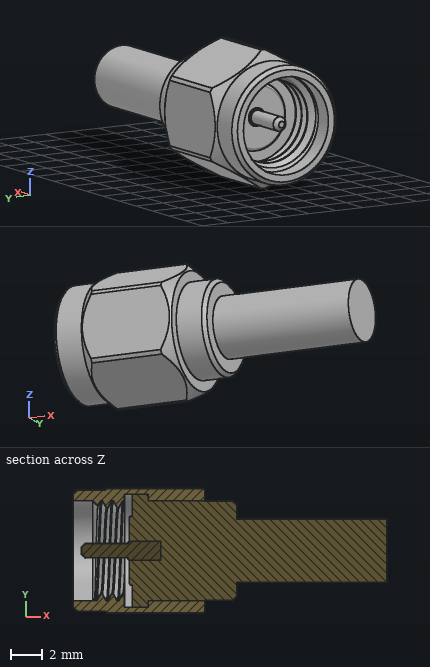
import cadquery as cq
import math


LENGTH = 19.94
FRONT_X = -LENGTH / 2
REAR_X = LENGTH / 2

ACROSS_FLATS = 7.94
CORNER_DIAMETER = 9.0
LIP_DIAMETER = 7.75
LIP_LENGTH = 2.03
LIP_CHAMFER = 0.25
NUT_LENGTH = 8.37
HEX_BEVEL_LENGTH = 0.72
NUT_REAR_X = FRONT_X + NUT_LENGTH
HEX_FRONT_X = FRONT_X + LIP_LENGTH

MOUTH_DIAMETER = 6.35
MOUTH_DEPTH = 1.24
THREAD_MINOR_DIAMETER = 5.42
THREAD_END_DEPTH = 3.27
THREAD_PITCH = 0.7
THREAD_MAJOR_DIAMETER = 6.32
THREAD_HALF_ANGLE = math.radians(30)
THREAD_ROOT_WIDTH = THREAD_PITCH / 8
THREAD_START_ANGLE = 157.0
MOUTH_RADIUS = MOUTH_DIAMETER / 2
THREAD_MINOR_RADIUS = THREAD_MINOR_DIAMETER / 2
LEAD_IN = MOUTH_RADIUS - THREAD_MINOR_RADIUS

COLLAR_DIAMETER = MOUTH_DIAMETER
COLLAR_LENGTH_OUTSIDE = 2.03
COLLAR_CHAMFER = 0.25
COLLAR_REAR_X = NUT_REAR_X + COLLAR_LENGTH_OUTSIDE
BODY_FRONT_DEPTH = 3.75
FLANGE_DIAMETER = 7.18
FLANGE_LENGTH = 1.0
BOSS_DIAMETER = 4.45
BOSS_FACE_DIAMETER = 4.07
BOSS_ROUNDING = (BOSS_DIAMETER - BOSS_FACE_DIAMETER) / 2
BODY_FRONT_X = FRONT_X + BODY_FRONT_DEPTH
FLANGE_REAR_X = BODY_FRONT_X + FLANGE_LENGTH
BOSS_FACE_X = BODY_FRONT_X - BOSS_ROUNDING
TUBE_DIAMETER = 4.07

PIN_DIAMETER = 0.94
PIN_TIP_DIAMETER = 0.42
PIN_TIP_DEPTH = 0.52
PIN_TAPER_LENGTH = 0.25
PIN_BASE_DIAMETER = 1.2
PIN_BASE_LENGTH = 2.0
PIN_BASE_HEIGHT = 0.08
PIN_BASE_CHAMFER = PIN_BASE_HEIGHT
PIN_TIP_X = FRONT_X + PIN_TIP_DEPTH
PIN_BASE_FRONT_X = BOSS_FACE_X - PIN_BASE_HEIGHT
PIN_BASE_END_X = BOSS_FACE_X + PIN_BASE_LENGTH


def revolve_about_x(points):
    """Solid of revolution about X from a closed outline of (x, radius) points."""
    return cq.Workplane("XY").polyline(points).close().revolve(360, (0, 0, 0), (1, 0, 0))


def cylinder_on_x(diameter, start_x, end_x):
    """Cylinder on the X axis between two stations."""
    return cq.Workplane("YZ", origin=(start_x, 0, 0)).circle(diameter / 2).extrude(end_x - start_x)


def make_hexagon():
    """Hexagon with flats facing +Y and -Y, its corners turned down and bevelled at both ends."""
    flat_to_corner = ACROSS_FLATS / math.cos(math.pi / 6)
    prism = (
        cq.Workplane("YZ", origin=(HEX_FRONT_X, 0, 0))
        .transformed(rotate=(0, 0, 90))
        .polygon(6, flat_to_corner)
        .extrude(NUT_REAR_X - HEX_FRONT_X)
    )
    turned = revolve_about_x([
        (HEX_FRONT_X, 0),
        (HEX_FRONT_X, LIP_DIAMETER / 2),
        (HEX_FRONT_X + HEX_BEVEL_LENGTH, CORNER_DIAMETER / 2),
        (NUT_REAR_X - HEX_BEVEL_LENGTH, CORNER_DIAMETER / 2),
        (NUT_REAR_X, LIP_DIAMETER / 2),
        (NUT_REAR_X, 0),
    ])
    return prism.intersect(turned)


def make_thread_groove():
    """Right-hand helical V groove, flat at the major radius and open inside the minor radius."""
    inner_radius = THREAD_MINOR_RADIUS - LEAD_IN / 10
    outer_radius = THREAD_MAJOR_DIAMETER / 2
    root_half = THREAD_ROOT_WIDTH / 2
    mouth_half = root_half + (outer_radius - inner_radius) * math.tan(THREAD_HALF_ANGLE)
    height = THREAD_END_DEPTH - MOUTH_DEPTH + 2 * THREAD_PITCH
    helix = cq.Wire.makeHelix(THREAD_PITCH, height, inner_radius)
    groove = (
        cq.Workplane("XZ")
        .polyline([
            (inner_radius, -mouth_half),
            (outer_radius, -root_half),
            (outer_radius, root_half),
            (inner_radius, mouth_half),
        ])
        .close()
        .sweep(cq.Workplane(obj=helix), isFrenet=True)
    )
    return (
        groove.rotate((0, 0, 0), (0, 1, 0), 90)
        .rotate((0, 0, 0), (1, 0, 0), THREAD_START_ANGLE)
        .translate((FRONT_X + MOUTH_DEPTH - THREAD_PITCH, 0, 0))
    )


def make_mouth():
    """Clear opening at the front, narrowing at 45 degrees down to the thread."""
    mouth_end_x = FRONT_X + MOUTH_DEPTH
    return revolve_about_x([
        (FRONT_X, 0),
        (FRONT_X, MOUTH_RADIUS),
        (mouth_end_x, MOUTH_RADIUS),
        (mouth_end_x + LEAD_IN, THREAD_MINOR_RADIUS),
        (mouth_end_x + LEAD_IN, 0),
    ])


def make_nut():
    """Coupling nut: round lip and hexagon, threaded inside, stepped to hold the body's flange."""
    lip = cylinder_on_x(LIP_DIAMETER, FRONT_X, HEX_FRONT_X).faces("<X").chamfer(LIP_CHAMFER)
    bore = cylinder_on_x(THREAD_MINOR_DIAMETER, FRONT_X, NUT_REAR_X)
    flange_seat = cylinder_on_x(FLANGE_DIAMETER, FRONT_X + THREAD_END_DEPTH, FLANGE_REAR_X)
    collar_seat = cylinder_on_x(COLLAR_DIAMETER, FLANGE_REAR_X, NUT_REAR_X)
    threaded = lip.union(make_hexagon()).cut(bore).cut(make_thread_groove())
    return threaded.cut(make_mouth()).cut(flange_seat).cut(collar_seat)


def make_body():
    """Flange, collar and cable tube, with a rounded boss in front that holds the contact."""
    flange = cylinder_on_x(FLANGE_DIAMETER, BODY_FRONT_X, FLANGE_REAR_X)
    collar = cylinder_on_x(COLLAR_DIAMETER, BODY_FRONT_X, COLLAR_REAR_X).faces(">X").chamfer(COLLAR_CHAMFER)
    boss = cylinder_on_x(BOSS_DIAMETER, BOSS_FACE_X, COLLAR_REAR_X).faces("<X").fillet(BOSS_ROUNDING)
    tube = cylinder_on_x(TUBE_DIAMETER, COLLAR_REAR_X, REAR_X)
    pin_seat = cylinder_on_x(PIN_BASE_DIAMETER, BOSS_FACE_X, PIN_BASE_END_X)
    return flange.union(collar).union(boss).union(tube).cut(pin_seat)


def make_pin():
    """Centre contact: tapered tip, plain shaft and a chamfered base seated in the boss."""
    return revolve_about_x([
        (PIN_TIP_X, 0),
        (PIN_TIP_X, PIN_TIP_DIAMETER / 2),
        (PIN_TIP_X + PIN_TAPER_LENGTH, PIN_DIAMETER / 2),
        (PIN_BASE_FRONT_X, PIN_DIAMETER / 2),
        (PIN_BASE_FRONT_X, PIN_BASE_DIAMETER / 2 - PIN_BASE_CHAMFER),
        (BOSS_FACE_X, PIN_BASE_DIAMETER / 2),
        (PIN_BASE_END_X, PIN_BASE_DIAMETER / 2),
        (PIN_BASE_END_X, 0),
    ])


nut = make_nut()
body = make_body()
pin = make_pin()

result = cq.Compound.makeCompound([nut.val(), body.val(), pin.val()])